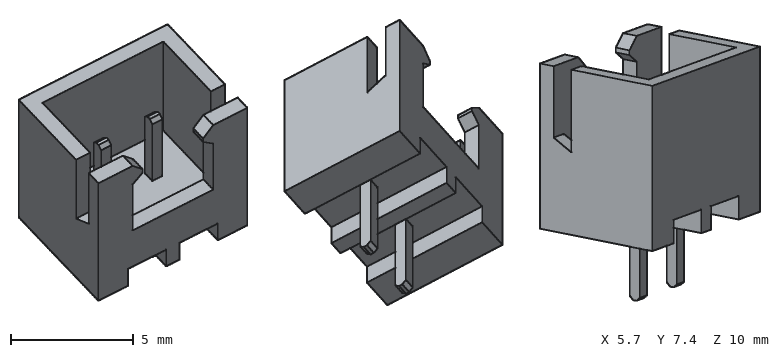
import cadquery as cq

length_x = 5.7
width_y = 7.4
top_z = 10.0
housing_bottom_z = 3.0
wall = 0.7
mid_y = width_y / 2
latch_wall_x = length_x - wall

foot_gap_height = 1.0
outer_foot_width = 1.47
middle_foot_width = 0.66
floor_bottom_z = housing_bottom_z + foot_gap_height
floor_thickness = wall
floor_top_z = floor_bottom_z + floor_thickness

slot_width = 0.9
slot_depth_deep = 3.5
slot_depth_shallow = 3.02

latch_arm_width = 1.7
opening_depth = 3.84
hook_reach = 0.5
hook_lead_in = 0.5
hook_flat = 0.2
hook_return = 0.4

pin_x = 2.5
pin_pitch = 2.54
pin_size_x = 0.52
pin_size_y = 0.5
pin_top_z = 8.23
tip_inset = 0.18
tip_height = 0.16
pin_positions_y = [mid_y - pin_pitch / 2, mid_y + pin_pitch / 2]


def block(x_min, x_max, y_min, y_max, z_min, z_max):
    """Axis-aligned box between the given limits."""
    size = (x_max - x_min, y_max - y_min, z_max - z_min)
    return cq.Workplane("XY").box(*size, centered=False).translate((x_min, y_min, z_min))


def make_foot_gap():
    """Gap between the outer foot on the low-Y side and the middle foot."""
    return block(0, length_x, outer_foot_width, mid_y - middle_foot_width / 2,
                 housing_bottom_z, floor_bottom_z)


def make_arm_slots():
    """Sloped-bottom slots through both side walls, next to the latch wall."""
    slot_start_x = latch_wall_x - slot_width
    return (
        cq.Workplane("XZ")
        .polyline([
            (slot_start_x, top_z),
            (slot_start_x, top_z - slot_depth_deep),
            (latch_wall_x, top_z - slot_depth_shallow),
            (latch_wall_x, top_z),
        ])
        .close()
        .extrude(-width_y)
    )


def make_hook():
    """Hook on the latch arm at the low-Y side, reaching into the opening."""
    root_y = latch_arm_width
    nose_y = root_y + hook_reach
    nose_top_z = top_z - hook_lead_in
    nose_bottom_z = nose_top_z - hook_flat
    return (
        cq.Workplane("YZ", origin=(latch_wall_x, 0, 0))
        .polyline([
            (root_y, top_z),
            (nose_y, nose_top_z),
            (nose_y, nose_bottom_z),
            (root_y, nose_bottom_z - hook_return),
        ])
        .close()
        .extrude(wall)
    )


def mirror_across_middle(shape):
    """Copy of a shape on the other side of the housing's middle plane."""
    return shape.mirror("XZ", (0, mid_y, 0))


def make_pin(y):
    """Straight pin along Z, both ends tapered in X."""
    half = pin_size_x / 2
    tip_half = half - tip_inset
    return (
        cq.Workplane("XZ", origin=(pin_x, y + pin_size_y / 2, 0))
        .polyline([
            (-tip_half, 0),
            (tip_half, 0),
            (half, tip_height),
            (half, pin_top_z - tip_height),
            (tip_half, pin_top_z),
            (-tip_half, pin_top_z),
            (-half, pin_top_z - tip_height),
            (-half, tip_height),
        ])
        .close()
        .extrude(pin_size_y)
    )


def make_housing(pins):
    """Open-topped shroud with feet, latch arms and a hole for each pin."""
    body = block(0, length_x, 0, width_y, housing_bottom_z, top_z)
    cavity = block(wall, latch_wall_x, wall, width_y - wall, floor_top_z, top_z)
    opening = block(latch_wall_x, length_x, latch_arm_width, width_y - latch_arm_width,
                    top_z - opening_depth, top_z)
    body = body.cut(cavity).cut(opening).cut(make_arm_slots())

    foot_gap = make_foot_gap()
    body = body.cut(foot_gap).cut(mirror_across_middle(foot_gap))

    hook = make_hook()
    body = body.union(hook).union(mirror_across_middle(hook))

    for pin in pins:
        body = body.cut(pin)
    return body


pins = [make_pin(y) for y in pin_positions_y]
housing = make_housing(pins)

result = cq.Compound.makeCompound([housing.solids().val(), *[pin.val() for pin in pins]])